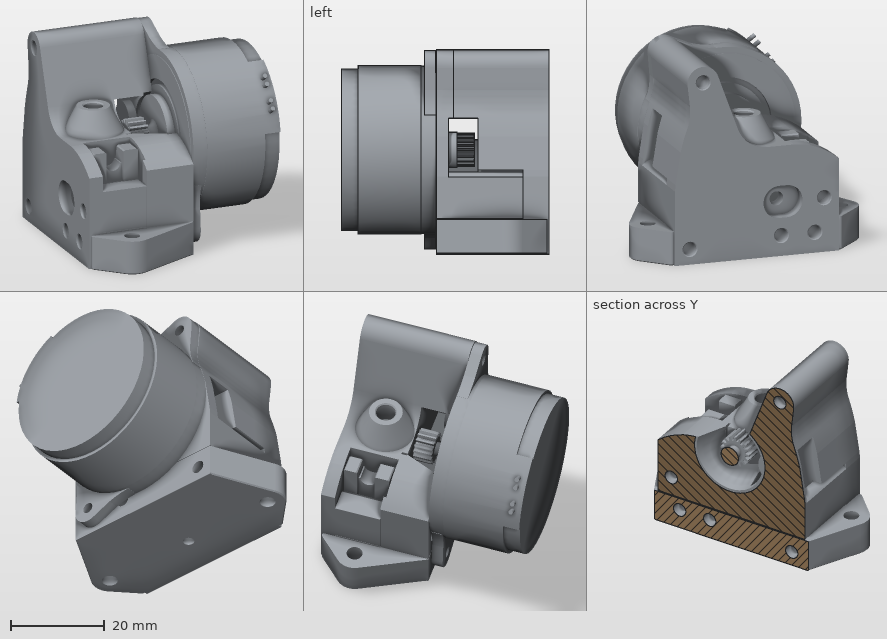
import cadquery as cq
import math


MOTOR_Z = 22.35
MID_X = -0.45
HALF_WIDTH = 18.55
LEFT_X = MID_X - HALF_WIDTH
RIGHT_X = MID_X + HALF_WIDTH
HOUSING_DEPTH = 24.1
OVERLAP = 0.5
LUG_X = -12.6
LUG_Z = 40.15
LUG_RADIUS = 3.55
LUG_LEFT_ANGLE = 186

FLANK_LINE_END = (-15.6, 35.0)
FLANK_ARC_MID = (-15.7, 32.25)
FLANK_ARC_END = (-16.45, 29.7)

SIDE_TOP_Z = 16.55
SLOPE_START = (-18.85, 17.95)
SLOPE_END = (-17.7, 25.15)
SHOULDER_MID = (-17.1, 27.6)
FLAT_END_X = 7.9
CREST_MID = (9.8, 24.35)
CREST_END = (11.7, 23.95)
DROP_MID = (15.05, 22.55)
RIGHT_TOP_Z = 20.5
BASE_HEIGHT = 7.45
CURVE_FLOOR_Z = 24.5
WELL_RADIUS = 7.0
WELL_END_X = 1.8
WELL_TILT = 19.4
CORNER_SCREW = (-15.6, 3.4)
MIDDLE_SCREW = (5.05, 4.55)
SCREW_HOLE = 3.0
SCREW_MOUTH = 3.4
SCREW_MOUTH_DEPTH = 0.2

SEAM_Y = 20.4
SEAM_Z = 7.6
BLOCK_FRONT_Y = 13.95
BLOCK_X = 4.8
BLOCK_GAP = 0.5
BLOCK_TOE_X = 15.75
BLOCK_TOE_Y = 13.35
PANEL_FRONT_Y = 5.55
PANEL_TOP_Z = 17.6
PANEL_THICKNESS = 2.45
PANEL_ROUND_MID = (-18.25, 17.2)
PANEL_ROUND_END_X = -17.25
PANEL_NOTCH_Z = 17.95

CHAMBER_FRONT_Y = 15.25
CHAMBER_BACK_Y = 21.5
CHAMBER_TOP_Z = 29.05
CHAMBER_FLOOR_Z = 13.15
DEEP_FLOOR_END_X = -4.8
FUNNEL_SMALL_RADIUS = 5.5
FUNNEL_LARGE_RADIUS = 8.25
SEAT_RADIUS = 8.8
SEAT_FRONT_Y = 22.15
STUD_DIAMETER = 7.55
STUD_X = -10.6
STUD_LENGTH = 1.8

INLET_Y = 8.65
INLET_TOP_Z = 30.0
INLET_TOP_RADIUS = 3.6
INLET_BASE_RADIUS = 6.6
INLET_MOUTH = 4.75
INLET_BORE = 4.2
INLET_BORE_DEPTH = 5.15
FILAMENT_HOLE = 2.45

SHAFT_Z = 12.05
SHAFT_X = 4.9
SLOT_X = 5.4
SLOT_HEIGHT = 7.15
SLOT_LENGTH = 8.8
SLOT_DEPTH = 2.85
SHAFT_HOLE = 3.1
SHAFT_HOLE_DEPTH = 3.1
FRONT_WALL = 3.15

EAR_HOLE_X = 21.75
EAR_HOLE_Y = 8.6
EAR_HOLE = 3.4
EAR_RADIUS = 4.0
EAR_TOE_WIDTH = 0.8
EAR_TOE_FRONT_Y = 0.4
EAR_TOE_TOP_Y = 0.6
EAR_CHAMFER = 0.25
EAR_SLANT_ANGLE = 153.4
EAR_FRONT_ANGLE = 225

LEVER_PIVOT_X = 14.75
LEVER_FRONT_Y = 3.2
LEVER_BACK_Y = 13.3
LEVER_BOTTOM_Z = 7.85
LEVER_BLOCK_X = 12.95
LEVER_BLOCK_TOP_Z = 17.0
LEVER_BLOCK_CHAMFER = 0.35
FORK_TOP_Z = 23.7
FORK_TOP_LEFT_X = 8.6
FORK_LEFT_X = 7.55
FORK_RIGHT_X = 12.5
FORK_SHOULDER_Z = 18.55
FORK_FRONT_Y = 3.4
FORK_BACK_Y = 13.55
FORK_GAP_FRONT_Y = 6.35
FORK_GAP_BACK_Y = 10.3
FORK_CHAMFER = 0.25
TROUGH_DIAMETER = 3.3
TROUGH_Z = 20.6
TROUGH_END_X = 11.35
PIT_BOTTOM_Z = 9.25
LEVER_POCKET_X = 6.95
LEVER_POCKET_Z = 7.7

CAN_RADIUS = 36.0 / 2
FLANGE_RADIUS = 17.9
CAP_RADIUS = 17.25
FACE_DISC_RADIUS = 16.5
FACE_DISC_HEIGHT = 0.1
FLANGE_Y = HOUSING_DEPTH + FACE_DISC_HEIGHT
LOBE_BACK_Y = 26.7
CAN_FRONT_Y = 27.4
CAN_BACK_Y = 40.8
MOTOR_BACK_Y = 44.4
LOBE_RADIUS = 3.4
LOBE_HOLE = 2.45
LOBE_RIGHT_ANGLE = 66.7
LOBE_FLANK_END = (-6.6, 41.25)
LOBE_BLEND_MID = (-4.1, 40.6)
LOBE_BLEND_END = (-1.45, 40.25)
LOBE_ROOT_LEFT = (-10.3, 30.9)
LOBE_ROOT_RIGHT = (-1.45, 36.05)
BOSS_DIAMETER = 16.0
BOSS_FRONT_Y = 22.4
GROOVE_OUTER_DIAMETER = 22.5
GROOVE_INNER_DIAMETER = 20.0
GROOVE_DEPTH = 1.05
TERMINAL_ANGLE = 35.5
PAD_HALF_ANGLE = 27.0
TERMINAL_DIAMETER = 1.0
TERMINAL_OFFSETS = (-3.7, -1.85, 1.85, 3.7)
TERMINAL_TIP = 19.45
TERMINAL_ROOT = 14.4
TERMINAL_Y = 42.55

SHAFT_DIAMETER = 2.2
NECK_DIAMETER = 3.0
NECK_BACK_Y = 20.9
FLARE_RADIUS = 2.75
FLARE_MID = (1.9, 21.95)
TEETH_BACK_Y = 20.1
TEETH_FRONT_Y = 15.95
TOOTH_COUNT = 16
TIP_RADIUS = 3.55
ROOT_RADIUS = 2.7
ROOT_WIDTH_SHARE = 0.6
TIP_WIDTH_SHARE = 0.3


def rod(x, z, diameter, y_front, y_back):
    """Round bar along Y."""
    plane = cq.Workplane("XZ", origin=(x, y_front, z))
    return plane.circle(diameter / 2).extrude(y_front - y_back)


def block(x_left, x_right, y_front, y_back, z_bottom, z_top):
    """Box between opposite faces."""
    box = cq.Workplane("XY").box(x_right - x_left, y_back - y_front, z_top - z_bottom, centered=False)
    return box.translate((x_left, y_front, z_bottom))


def polar(x, z, radius, degrees):
    """Point on a circle in the XZ plane."""
    angle = math.radians(degrees)
    return (x + radius * math.cos(angle), z + radius * math.sin(angle))


def housing_envelope():
    """Outer prism of both housing halves."""
    well_z = CURVE_FLOOR_Z + WELL_RADIUS
    well_start = polar(WELL_END_X, well_z, WELL_RADIUS, 180 + WELL_TILT)
    well_mid = polar(WELL_END_X, well_z, WELL_RADIUS, 225 + WELL_TILT / 2)
    return (
        cq.Workplane("XZ")
        .moveTo(LEFT_X, 0)
        .lineTo(LEFT_X, SIDE_TOP_Z)
        .lineTo(*SLOPE_START)
        .lineTo(*SLOPE_END)
        .threePointArc(SHOULDER_MID, FLANK_ARC_END)
        .threePointArc(FLANK_ARC_MID, FLANK_LINE_END)
        .lineTo(*polar(LUG_X, LUG_Z, LUG_RADIUS, LUG_LEFT_ANGLE))
        .threePointArc(
            polar(LUG_X, LUG_Z, LUG_RADIUS, 90),
            polar(LUG_X, LUG_Z, LUG_RADIUS, WELL_TILT),
        )
        .lineTo(*well_start)
        .threePointArc(well_mid, (WELL_END_X, CURVE_FLOOR_Z))
        .lineTo(FLAT_END_X, CURVE_FLOOR_Z)
        .threePointArc(CREST_MID, CREST_END)
        .threePointArc(DROP_MID, (RIGHT_X, RIGHT_TOP_Z))
        .lineTo(RIGHT_X, 0)
        .close()
        .extrude(-HOUSING_DEPTH)
    )


def ear():
    """Left mounting ear, reaching a little into the housing wall."""
    x = MID_X - EAR_HOLE_X
    root_x = LEFT_X + OVERLAP
    front_slant = polar(x, EAR_HOLE_Y, EAR_RADIUS, EAR_FRONT_ANGLE)
    toe_x = LEFT_X - EAR_TOE_WIDTH
    toe_y = front_slant[0] + front_slant[1] - toe_x
    plate = (
        cq.Workplane("XY")
        .moveTo(root_x, EAR_TOE_TOP_Y)
        .lineTo(LEFT_X, EAR_TOE_TOP_Y)
        .threePointArc((LEFT_X - EAR_TOE_WIDTH / 2, EAR_TOE_FRONT_Y), (toe_x, toe_y))
        .lineTo(*front_slant)
        .threePointArc((x - EAR_RADIUS, EAR_HOLE_Y), polar(x, EAR_HOLE_Y, EAR_RADIUS, EAR_SLANT_ANGLE))
        .lineTo(LEFT_X, HOUSING_DEPTH)
        .lineTo(root_x, HOUSING_DEPTH)
        .close()
        .extrude(BASE_HEIGHT)
    )
    plate = plate.faces("<Z").chamfer(EAR_CHAMFER)
    hole = cq.Workplane("XY").center(x, EAR_HOLE_Y).circle(EAR_HOLE / 2).extrude(BASE_HEIGHT)
    return plate.cut(hole)


def ears():
    left = ear()
    right = left.mirror("YZ").translate((2 * MID_X, 0, 0))
    return left.union(right)


def screw_holes():
    """Through holes with a chamfered mouth in the front face."""
    lobe_mirror = (-LUG_X, 2 * MOTOR_Z - LUG_Z)
    pivot = (LEVER_PIVOT_X, SHAFT_Z)
    centres = ((LUG_X, LUG_Z), lobe_mirror, CORNER_SCREW, MIDDLE_SCREW, pivot)
    holes = cq.Workplane("XZ")
    for x, z in centres:
        mouth = (
            cq.Workplane("XZ", origin=(x, 0, z))
            .circle(SCREW_MOUTH / 2)
            .workplane(offset=-SCREW_MOUTH_DEPTH)
            .circle(SCREW_HOLE / 2)
            .loft()
        )
        holes = holes.add(rod(x, z, SCREW_HOLE, 0, HOUSING_DEPTH)).add(mouth)
    return holes.combine()


def gear_chamber():
    """Side window, chamber round the pinion and the seat of the motor boss."""
    room = block(LEFT_X - OVERLAP, 0, CHAMBER_FRONT_Y, CHAMBER_BACK_Y, PANEL_TOP_Z, CHAMBER_TOP_Z)
    funnel = (
        cq.Workplane("XZ", origin=(0, CHAMBER_FRONT_Y, MOTOR_Z))
        .circle(FUNNEL_SMALL_RADIUS)
        .workplane(offset=CHAMBER_FRONT_Y - SEAT_FRONT_Y)
        .circle(FUNNEL_LARGE_RADIUS)
        .loft()
    )
    boss_seat = rod(0, MOTOR_Z, 2 * SEAT_RADIUS, SEAT_FRONT_Y, HOUSING_DEPTH)
    deep_room = block(
        LEFT_X + PANEL_THICKNESS, DEEP_FLOOR_END_X,
        CHAMBER_FRONT_Y, CHAMBER_BACK_Y, CHAMBER_FLOOR_Z, PANEL_TOP_Z,
    )
    return room.union(deep_room).union(funnel).union(boss_seat)


def rear_region(panel_top_z, bottom_z, block_x):
    """Space of the rear half inside the housing outline."""
    far_z = LUG_Z + 2 * LUG_RADIUS
    wall = block(LEFT_X, RIGHT_X, SEAM_Y, HOUSING_DEPTH, bottom_z, far_z)
    chamber_base = block(LEFT_X, RIGHT_X, CHAMBER_FRONT_Y, SEAM_Y, bottom_z, CHAMBER_TOP_Z)
    side_block = block(block_x, RIGHT_X, BLOCK_FRONT_Y, CHAMBER_FRONT_Y, bottom_z, CHAMBER_TOP_Z)
    toe = block(BLOCK_TOE_X, RIGHT_X, BLOCK_TOE_Y, BLOCK_FRONT_Y, bottom_z, CHAMBER_TOP_Z)
    panel = block(
        LEFT_X, LEFT_X + PANEL_THICKNESS, PANEL_FRONT_Y, CHAMBER_FRONT_Y, bottom_z, panel_top_z
    )
    return wall.union(chamber_base).union(side_block).union(toe).union(panel)


def panel_round():
    """Waste outside the rounded top edge of the left panel."""
    return (
        cq.Workplane("XZ", origin=(0, PANEL_FRONT_Y, 0))
        .moveTo(LEFT_X - OVERLAP, SIDE_TOP_Z)
        .lineTo(LEFT_X, SIDE_TOP_Z)
        .threePointArc(PANEL_ROUND_MID, (PANEL_ROUND_END_X, PANEL_TOP_Z))
        .lineTo(PANEL_ROUND_END_X, PANEL_NOTCH_Z)
        .lineTo(LEFT_X - OVERLAP, PANEL_NOTCH_Z)
        .close()
        .extrude(PANEL_FRONT_Y - CHAMBER_BACK_Y)
    )


def filament_inlet():
    """Cone on top of the front half; it starts below the low flat so that it is well rooted."""
    taper = (INLET_BASE_RADIUS - INLET_TOP_RADIUS) / (INLET_TOP_Z - CURVE_FLOOR_Z)
    return (
        cq.Workplane("XY", origin=(MID_X, INLET_Y, CURVE_FLOOR_Z - OVERLAP))
        .circle(INLET_BASE_RADIUS + OVERLAP * taper)
        .workplane(offset=INLET_TOP_Z - CURVE_FLOOR_Z + OVERLAP)
        .circle(INLET_TOP_RADIUS)
        .loft()
    )


def filament_bore():
    top = cq.Workplane("XY", origin=(MID_X, INLET_Y, INLET_TOP_Z))
    through = top.circle(FILAMENT_HOLE / 2).extrude(-INLET_TOP_Z)
    counterbore = top.circle(INLET_BORE / 2).extrude(-INLET_BORE_DEPTH)
    mouth_depth = (INLET_MOUTH - INLET_BORE) / 2
    mouth = top.circle(INLET_MOUTH / 2).workplane(offset=-mouth_depth).circle(INLET_BORE / 2).loft()
    return through.union(counterbore).union(mouth)


def shaft_slot():
    """Oblong recess in the front wall with the shaft hole in its floor."""
    slot = (
        cq.Workplane("XZ", origin=(SLOT_X, 0, SHAFT_Z))
        .slot2D(SLOT_LENGTH, SLOT_HEIGHT)
        .extrude(-SLOT_DEPTH)
    )
    return slot.union(rod(SHAFT_X, SHAFT_Z, SHAFT_HOLE, 0, SLOT_DEPTH + SHAFT_HOLE_DEPTH))


def front_housing():
    lever_pocket = block(
        LEVER_POCKET_X, RIGHT_X + OVERLAP, FRONT_WALL, BLOCK_FRONT_Y, LEVER_POCKET_Z, INLET_TOP_Z
    )
    body = housing_envelope().cut(rear_region(PANEL_NOTCH_Z, BASE_HEIGHT, BLOCK_X)).union(ears())
    body = body.union(filament_inlet())
    for space in (gear_chamber(), lever_pocket, shaft_slot(), screw_holes(), filament_bore()):
        body = body.cut(space)
    return body


def rear_housing():
    body = housing_envelope().intersect(rear_region(PANEL_TOP_Z, SEAM_Z, BLOCK_X + BLOCK_GAP))
    for space in (gear_chamber(), panel_round(), screw_holes()):
        body = body.cut(space)
    stud = rod(STUD_X, MOTOR_Z, STUD_DIAMETER, CHAMBER_BACK_Y - STUD_LENGTH, CHAMBER_BACK_Y)
    return body.union(stud)


def lever_arm():
    """Forked arm with a round-bottomed channel between its two cheeks."""
    arm = (
        cq.Workplane("XZ", origin=(0, FORK_FRONT_Y, 0))
        .moveTo(LEVER_BLOCK_X, LEVER_BOTTOM_Z)
        .lineTo(LEVER_BLOCK_X, FORK_TOP_Z)
        .lineTo(FORK_TOP_LEFT_X, FORK_TOP_Z)
        .lineTo(FORK_LEFT_X, FORK_SHOULDER_Z)
        .lineTo(FORK_LEFT_X, LEVER_BOTTOM_Z)
        .close()
        .extrude(FORK_FRONT_Y - FORK_BACK_Y)
    )
    gap = block(FORK_LEFT_X, LEVER_BLOCK_X, FORK_GAP_FRONT_Y, FORK_GAP_BACK_Y, TROUGH_Z, FORK_TOP_Z)
    trough_y = (FORK_GAP_FRONT_Y + FORK_GAP_BACK_Y) / 2
    trough = (
        cq.Workplane("YZ", origin=(FORK_LEFT_X, trough_y, TROUGH_Z))
        .circle(TROUGH_DIAMETER / 2)
        .extrude(LEVER_BLOCK_X - FORK_LEFT_X)
    )
    return arm.cut(gap).faces(">Z").edges("|X").chamfer(FORK_CHAMFER).cut(trough)


def lever_pit(left_x, y_front, y_back):
    """Cut between arm and block whose far side leans along one common slope."""
    slope = (LEVER_BLOCK_TOP_Z - PIT_BOTTOM_Z) / (LEVER_BLOCK_X - TROUGH_END_X)
    bottom_z = PIT_BOTTOM_Z + slope * (left_x - TROUGH_END_X)
    return (
        cq.Workplane("XZ", origin=(0, y_front, 0))
        .moveTo(left_x, bottom_z)
        .lineTo(LEVER_BLOCK_X, LEVER_BLOCK_TOP_Z)
        .lineTo(LEVER_BLOCK_X, FORK_TOP_Z)
        .lineTo(left_x, FORK_TOP_Z)
        .close()
        .extrude(y_front - y_back)
    )


def lever():
    """Pivoting block with a forked arm."""
    base = block(
        LEVER_BLOCK_X, RIGHT_X, LEVER_FRONT_Y, LEVER_BACK_Y, LEVER_BOTTOM_Z, LEVER_BLOCK_TOP_Z
    )
    base = base.faces("<X").edges(">Z").chamfer(LEVER_BLOCK_CHAMFER)
    arm = lever_arm()
    arm = arm.cut(lever_pit(FORK_RIGHT_X, FORK_FRONT_Y, FORK_BACK_Y))
    arm = arm.cut(lever_pit(TROUGH_END_X, FORK_GAP_FRONT_Y, FORK_GAP_BACK_Y))
    pivot = rod(LEVER_PIVOT_X, SHAFT_Z, SCREW_HOLE, 0, HOUSING_DEPTH)
    return arm.union(base).cut(pivot)


def motor_lobe():
    """Screw lobe beside the top of the flange."""
    return (
        cq.Workplane("XZ", origin=(0, FLANGE_Y, 0))
        .moveTo(*LOBE_ROOT_LEFT)
        .lineTo(*FLANK_ARC_END)
        .threePointArc(FLANK_ARC_MID, FLANK_LINE_END)
        .lineTo(*polar(LUG_X, LUG_Z, LOBE_RADIUS, LUG_LEFT_ANGLE))
        .threePointArc(
            polar(LUG_X, LUG_Z, LOBE_RADIUS, (LUG_LEFT_ANGLE + LOBE_RIGHT_ANGLE) / 2),
            polar(LUG_X, LUG_Z, LOBE_RADIUS, LOBE_RIGHT_ANGLE),
        )
        .lineTo(*LOBE_FLANK_END)
        .threePointArc(LOBE_BLEND_MID, LOBE_BLEND_END)
        .lineTo(*LOBE_ROOT_RIGHT)
        .close()
        .extrude(FLANGE_Y - LOBE_BACK_Y)
        .cut(rod(LUG_X, LUG_Z, LOBE_HOLE, FLANGE_Y, LOBE_BACK_Y))
    )


def terminal_pad():
    """Full-radius sector of the rear cap behind the terminals."""
    reach = 2 * CAN_RADIUS
    sector = (
        cq.Workplane("XZ", origin=(0, CAN_BACK_Y, 0))
        .moveTo(0, MOTOR_Z)
        .lineTo(*polar(0, MOTOR_Z, reach, TERMINAL_ANGLE - PAD_HALF_ANGLE))
        .lineTo(*polar(0, MOTOR_Z, reach, TERMINAL_ANGLE + PAD_HALF_ANGLE))
        .close()
        .extrude(CAN_BACK_Y - MOTOR_BACK_Y)
    )
    return sector.intersect(rod(0, MOTOR_Z, 2 * CAN_RADIUS, CAN_BACK_Y, MOTOR_BACK_Y))


def terminals():
    pins = cq.Workplane("XY")
    for offset in TERMINAL_OFFSETS:
        pin = cq.Workplane("YZ", origin=(TERMINAL_ROOT, TERMINAL_Y, offset))
        pin = pin.circle(TERMINAL_DIAMETER / 2).extrude(TERMINAL_TIP - TERMINAL_ROOT)
        pins = pins.add(pin)
    pins = pins.combine()
    return pins.rotate((0, 0, 0), (0, 1, 0), -TERMINAL_ANGLE).translate((0, 0, MOTOR_Z))


def motor_shaft():
    """Shaft with a hollow-curved flare where it leaves the boss."""
    neck_radius = NECK_DIAMETER / 2
    flare = (
        cq.Workplane("XY")
        .moveTo(0, NECK_BACK_Y)
        .lineTo(neck_radius, NECK_BACK_Y)
        .threePointArc(FLARE_MID, (FLARE_RADIUS, BOSS_FRONT_Y))
        .lineTo(0, BOSS_FRONT_Y)
        .close()
        .revolve(360, (0, 0, 0), (0, 1, 0))
        .translate((0, 0, MOTOR_Z))
    )
    return flare.union(rod(0, MOTOR_Z, SHAFT_DIAMETER, TEETH_FRONT_Y, NECK_BACK_Y))


def motor():
    body = rod(0, MOTOR_Z, 2 * FLANGE_RADIUS, FLANGE_Y, CAN_FRONT_Y)
    body = body.union(rod(0, MOTOR_Z, 2 * CAN_RADIUS, CAN_FRONT_Y, CAN_BACK_Y))
    body = body.union(rod(0, MOTOR_Z, 2 * CAP_RADIUS, CAN_BACK_Y, MOTOR_BACK_Y)).union(terminal_pad())
    body = body.union(rod(0, MOTOR_Z, 2 * FACE_DISC_RADIUS, HOUSING_DEPTH, FLANGE_Y))
    groove_floor_y = HOUSING_DEPTH + GROOVE_DEPTH
    groove = rod(0, MOTOR_Z, GROOVE_OUTER_DIAMETER, HOUSING_DEPTH, groove_floor_y)
    groove = groove.cut(rod(0, MOTOR_Z, GROOVE_INNER_DIAMETER, HOUSING_DEPTH, groove_floor_y))
    body = body.cut(groove).union(rod(0, MOTOR_Z, BOSS_DIAMETER, BOSS_FRONT_Y, groove_floor_y))
    lobe = motor_lobe()
    opposite_lobe = lobe.rotate((0, 0, MOTOR_Z), (0, 1, MOTOR_Z), 180)
    return body.union(lobe).union(opposite_lobe).union(terminals()).union(motor_shaft())


def pinion():
    """Toothed wheel with a neck, pressed on the motor shaft."""
    step = 360 / TOOTH_COUNT
    root_half = ROOT_WIDTH_SHARE * step / 2
    tip_half = TIP_WIDTH_SHARE * step / 2
    points = []
    for tooth in range(TOOTH_COUNT):
        middle = tooth * step
        points.append(polar(0, 0, ROOT_RADIUS, middle - root_half))
        points.append(polar(0, 0, TIP_RADIUS, middle - tip_half))
        points.append(polar(0, 0, TIP_RADIUS, middle + tip_half))
        points.append(polar(0, 0, ROOT_RADIUS, middle + root_half))
    teeth = (
        cq.Workplane("XZ", origin=(0, TEETH_FRONT_Y, MOTOR_Z))
        .polyline(points)
        .close()
        .extrude(TEETH_FRONT_Y - TEETH_BACK_Y)
    )
    neck = rod(0, MOTOR_Z, NECK_DIAMETER, TEETH_BACK_Y, NECK_BACK_Y)
    bore = rod(0, MOTOR_Z, SHAFT_DIAMETER, TEETH_FRONT_Y, NECK_BACK_Y)
    return teeth.union(neck).cut(bore)


result = cq.Compound.makeCompound(
    [
        front_housing().solids().val(),
        rear_housing().solids().val(),
        lever().solids().val(),
        motor().solids().val(),
        pinion().solids().val(),
    ]
)